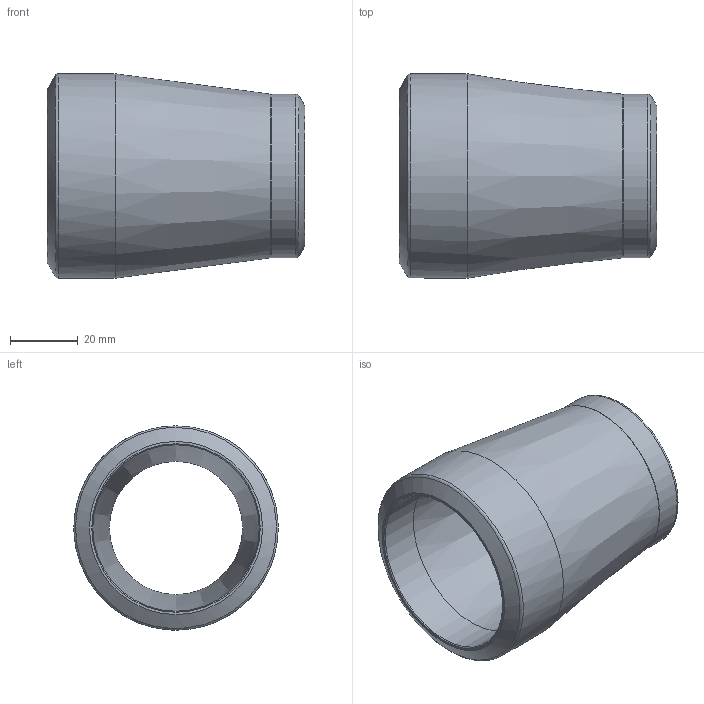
import cadquery as cq
import math

length = 76.0
large_outer_radius = 60.3 / 2
large_bore_radius = 49.1 / 2
small_outer_radius = 48.3 / 2
small_bore_radius = 39.3 / 2

large_land_end = 20.0
small_land_start = 66.0
large_bore_end = 12.0

root_face = 1.0
bevel_angle = math.radians(30)
bevel_edge_radius = 1.0
mouth_edge_radius = 0.3
taper_blend_radius = 1.0


def bevel_length(outer_radius, bore_radius):
    """Axial length of the weld bevel, before its outer edge is rounded."""
    return (outer_radius - bore_radius - root_face) * math.tan(bevel_angle)


large_bevel_end = bevel_length(large_outer_radius, large_bore_radius)
small_bevel_start = length - bevel_length(small_outer_radius, small_bore_radius)


def reducer_body():
    """Revolve the wall section, with sharp edges, about the X axis."""
    section = (
        cq.Workplane("XZ")
        .moveTo(0, large_bore_radius)
        .lineTo(0, large_bore_radius + root_face)
        .lineTo(large_bevel_end, large_outer_radius)
        .lineTo(large_land_end, large_outer_radius)
        .lineTo(small_land_start, small_outer_radius)
        .lineTo(small_bevel_start, small_outer_radius)
        .lineTo(length, small_bore_radius + root_face)
        .lineTo(length, small_bore_radius)
        .lineTo(small_land_start, small_bore_radius)
        .lineTo(large_bore_end, large_bore_radius)
        .close()
    )
    return section.revolve(360, (0, 0, 0), (1, 0, 0))


def round_edge(body, x, radius, fillet_radius):
    """Round the circular edge of the given radius, the largest one at position x."""
    tolerance = 0.01
    reach = radius + tolerance
    region = cq.selectors.BoxSelector(
        (x - tolerance, -reach, -reach),
        (x + tolerance, reach, reach),
        boundingbox=True,
    )
    largest = cq.selectors.RadiusNthSelector(-1)
    return body.edges(region).edges(largest).fillet(fillet_radius)


def rounded_reducer():
    """Round the bevel edges, the bore mouths and the small end of the taper."""
    body = reducer_body()
    roundings = (
        (large_bevel_end, large_outer_radius, bevel_edge_radius),
        (small_bevel_start, small_outer_radius, bevel_edge_radius),
        (0, large_bore_radius, mouth_edge_radius),
        (length, small_bore_radius, mouth_edge_radius),
        (small_land_start, small_outer_radius, taper_blend_radius),
    )
    for x, radius, fillet_radius in roundings:
        body = round_edge(body, x, radius, fillet_radius)
    return body


result = rounded_reducer()